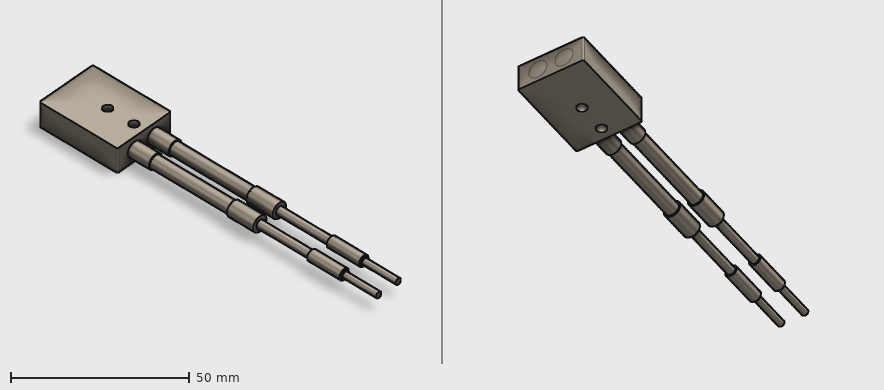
import cadquery as cq

lens_diameter = 6.1
lens_spacing = 8.8
lens_rise = 0.2

block_length = 30.0
block_width = 22.0
block_height = 9.0
corner_radius = 0.5
block_front = lens_rise
block_back = block_front + block_length

hole_diameter = 3.2
hole_distances = (16.0, 26.0)

overall_length = 123.8
cable_spacing = 8.0
collar_length = 8.0
collar_diameter = 5.5
jacket_length = 30.0
jacket_diameter = 4.6
sleeve_length = 10.0
sleeve_diameter = 5.6
lead_length = 19.9
lead_diameter = 2.8
ferrule_length = 12.8
ferrule_diameter = 4.0
ferrule_chamfer = 0.4
tip_diameter = 2.2


def make_block():
    block = cq.Workplane("XY", origin=(block_front, 0, 0)).box(
        block_length, block_width, block_height, centered=(False, True, True)
    )
    block = block.edges("|Z").fillet(corner_radius)
    holes = (
        cq.Workplane("XY", origin=(block_front, 0, 0))
        .pushPoints([(distance, 0) for distance in hole_distances])
        .circle(hole_diameter / 2)
        .extrude(block_height, both=True)
    )
    return block.cut(holes)


def make_lens(y):
    """Spherical cap with its apex at X = 0 and its rim on the block's front face."""
    radius = lens_diameter / 2
    dome_radius = (radius**2 + lens_rise**2) / (2 * lens_rise)
    sphere = cq.Workplane("XY").sphere(dome_radius).translate((dome_radius, y, 0))
    return sphere.intersect(make_rod(0, lens_rise, lens_diameter, y))


def make_rod(start, length, diameter, y):
    return cq.Workplane("YZ", origin=(start, y, 0)).circle(diameter / 2).extrude(length)


def make_cable(y):
    collar_end = block_back + collar_length
    jacket_end = collar_end + jacket_length
    sleeve_end = jacket_end + sleeve_length
    lead_end = sleeve_end + lead_length
    ferrule_end = lead_end + ferrule_length

    ferrule = make_rod(lead_end, ferrule_length, ferrule_diameter, y)
    ferrule = ferrule.faces(">X").chamfer(ferrule_chamfer)
    return (
        make_rod(block_back, collar_length, collar_diameter, y)
        .union(make_rod(collar_end, jacket_length, jacket_diameter, y))
        .union(make_rod(jacket_end, sleeve_length, sleeve_diameter, y))
        .union(make_rod(sleeve_end, lead_length, lead_diameter, y))
        .union(ferrule)
        .union(make_rod(ferrule_end, overall_length - ferrule_end, tip_diameter, y))
    )


result = make_block()
for side in (-1, 1):
    result = result.union(make_lens(side * lens_spacing / 2))
    result = result.union(make_cable(side * cable_spacing / 2))